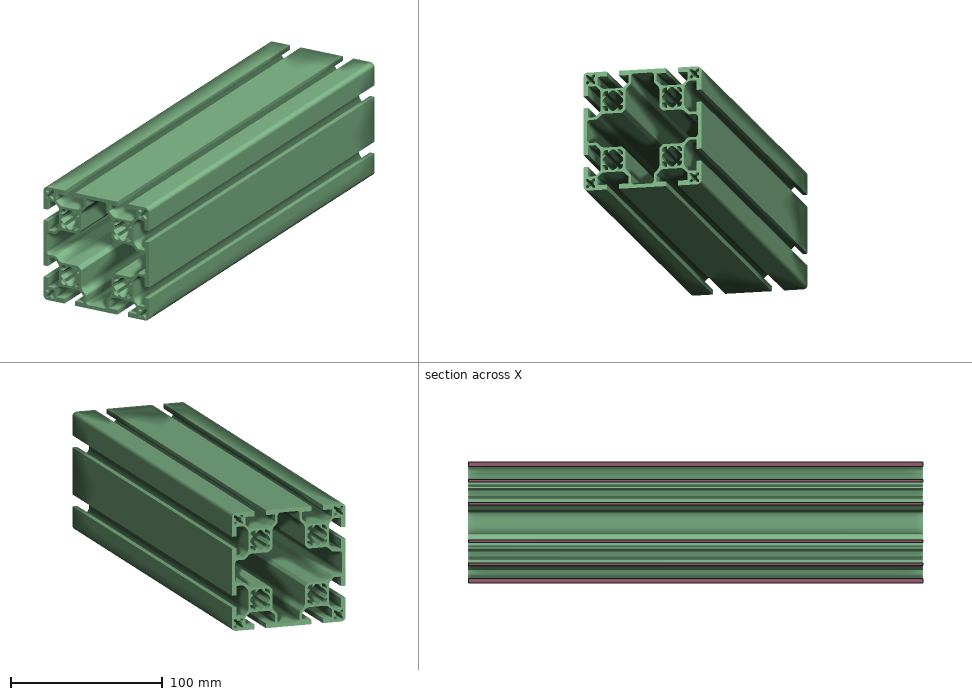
import cadquery as cq
import math

length = 300.0
side = 80.0
half_side = side / 2
corner_radius = 3.0
face_wall = 2.5

slot_offset = side / 4
slot_width = 8.0
slot_lip = 3.3
slot_inner_width = 21.0
slot_depth = 11.7
slot_shoulder = 3.5
slot_floor_round = 4.5
corner_web = 1.5
slot_floor = half_side - slot_depth

channel_size = 13.8
channel_corner_round = 3.0
channel_wall = 1.65
tooth_tip_offset = 3.3
tooth_root_offset = 1.0
tooth_height = 2.0

arm_width = 15.5
arm_fillet = 2.0
brace_wall = 1.95
core_chamfer = 2.5
core_chamfer_round = 1.2
shoulder_core_round = 4.5
shoulder_arm_round = 2.5

corner_channel_size = 6.3
corner_channel_depth = 4.8
corner_rib_base = 3.3
corner_rib_tip = 1.5
corner_rib_height = 1.2
corner_channel_offset = half_side - corner_channel_depth


def mirrored_outline(half):
    """Extend a half outline by its mirror image in the Z axis, continuing right to left."""
    return half + [(-x, z) for x, z in reversed(half)]


def all_around(points):
    """Repeat the top side's points, listed right to left, on all four sides."""
    outline = []
    for _ in range(4):
        outline += points
        points = [(-z, x) for x, z in points]
    return outline


def prism(points):
    """Extrude a closed XZ outline along the whole length."""
    return cq.Workplane("XZ").polyline(points).close().extrude(length / 2, both=True)


def round_edges(solid, places, radius):
    """Fillet the lengthwise edges that pass through the given XZ places."""
    near = 0.15
    for x, z in places:
        box = cq.selectors.BoxSelector((x - near, -near, z - near), (x + near, near, z + near))
        solid = solid.edges(box).fillet(radius)
    return solid


def make_slot():
    """T-slot in the top face, right of centre."""
    left = slot_offset - slot_inner_width / 2
    right = slot_offset + slot_inner_width / 2
    mouth_left = slot_offset - slot_width / 2
    mouth_right = slot_offset + slot_width / 2
    lip = half_side - slot_lip
    web_shift = corner_web / math.sqrt(2)
    floor_left = (left + slot_shoulder, slot_floor)
    floor_right = (slot_floor - web_shift, slot_floor)
    slot = prism([
        (mouth_left, half_side),
        (mouth_left, lip),
        (left, lip),
        (left, slot_floor + slot_shoulder),
        floor_left,
        floor_right,
        (right, right + web_shift),
        (right, lip),
        (mouth_right, lip),
        (mouth_right, half_side),
    ])
    return round_edges(slot, [floor_left, floor_right], slot_floor_round)


def make_cavity():
    """Central cross; its sloping shoulders run parallel to the slot shoulders."""
    arm_half = arm_width / 2
    arm_end = half_side - face_wall
    core_edge = slot_offset - channel_size / 2 - channel_wall
    slot_left = slot_offset - slot_inner_width / 2
    shoulder_sum = slot_left + slot_floor + slot_shoulder - brace_wall * math.sqrt(2)
    shoulder_core = (core_edge, shoulder_sum - core_edge)
    shoulder_arm = (arm_half, shoulder_sum - arm_half)
    arm_corner = (arm_half, arm_end)
    chamfer_end = (core_edge, core_edge + core_chamfer)
    half_arm = [chamfer_end, shoulder_core, shoulder_arm, arm_corner]
    cavity = prism(all_around(mirrored_outline(half_arm)))
    for corner, radius in (
        (chamfer_end, core_chamfer_round),
        (shoulder_core, shoulder_core_round),
        (shoulder_arm, shoulder_arm_round),
        (arm_corner, arm_fillet),
    ):
        cavity = round_edges(cavity, all_around(mirrored_outline([corner])), radius)
    return cavity


def make_screw_channel():
    half = channel_size / 2
    tooth = [
        (tooth_tip_offset, half),
        (tooth_tip_offset, half - tooth_height),
        (tooth_root_offset, half),
    ]
    channel = prism(all_around([(half, half)] + mirrored_outline(tooth)))
    return round_edges(channel, all_around([(half, half)]), channel_corner_round)


def make_corner_channel():
    half = corner_channel_size / 2
    rib = [
        (corner_rib_base / 2, half),
        (corner_rib_tip / 2, half - corner_rib_height),
    ]
    return prism(all_around([(half, half)] + mirrored_outline(rib)))


body = cq.Workplane("XY").box(side, length, side).edges("|Y").fillet(corner_radius)
body = body.cut(make_cavity())

slot = make_slot()
screw_channel = make_screw_channel().translate((slot_offset, 0, slot_offset))
corner_channel = make_corner_channel().translate((corner_channel_offset, 0, corner_channel_offset))
for quarter in range(4):
    for cutter in (slot, slot.mirror("YZ"), screw_channel, corner_channel):
        body = body.cut(cutter.rotate((0, 0, 0), (0, 1, 0), 90 * quarter))

result = body